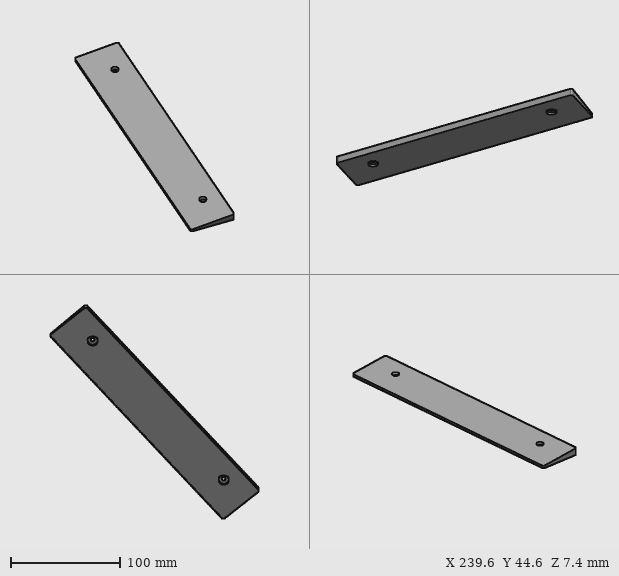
import cadquery as cq

length = 239.6
width = 44.6
back_height = 7.4
front_height = 2.7
corner_radius = 2.0

hole_spacing = 181.0
hole_y = 4.5
hole_diameter = 3.4
countersink_diameter = 6.7
countersink_angle = 90.0
recess_diameter = 9.4
recess_ceiling_depth = 2.5


def make_wedge():
    """Plate with a flat top at back_height and an underside rising toward the front."""
    profile = [
        (-width / 2, back_height),
        (width / 2, back_height),
        (width / 2, 0),
        (-width / 2, back_height - front_height),
    ]
    wedge = cq.Workplane("YZ").polyline(profile).close().extrude(length / 2, both=True)
    return wedge.edges("|Z").fillet(corner_radius)


def cut_screw_holes(body):
    """Cut the countersunk holes from the top and their recesses from below."""
    centres = [(side * hole_spacing / 2, hole_y) for side in (-1, 1)]
    body = (
        body.faces(">Z")
        .workplane(origin=(0, 0, back_height))
        .pushPoints(centres)
        .cskHole(hole_diameter, countersink_diameter, countersink_angle)
    )
    recess_height = back_height - recess_ceiling_depth
    recesses = cq.Workplane("XY").pushPoints(centres).circle(recess_diameter / 2).extrude(recess_height)
    return body.cut(recesses)


result = cut_screw_holes(make_wedge())